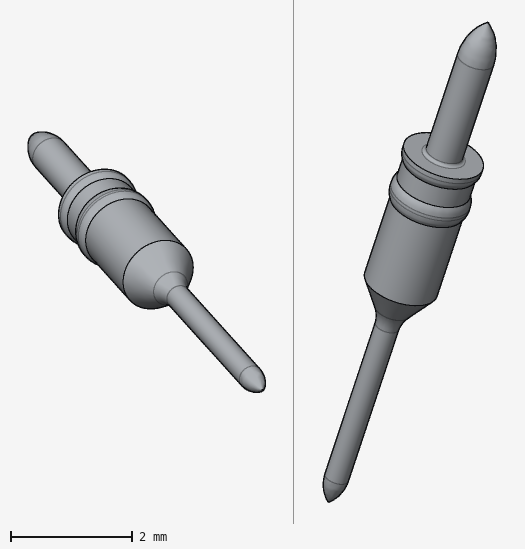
import cadquery as cq
import math

PIN_RADIUS = 0.63 / 2
BODY_RADIUS = 1.26 / 2
COLLAR_RADIUS = 1.375 / 2
CONE_END_RADIUS = 0.61 / 2
TAIL_RADIUS = 0.41 / 2
TIP_RADIUS = 0.025 / 2
ROOT_FILLET = 0.06

TOTAL_LENGTH = 9.55
NOSE_LENGTH = 0.73
COLLAR_START = 2.655
COLLAR_LAND = 0.09
COLLAR_RUNOUT = 0.15
RIB_CENTER = 3.46
RIB_LAND = 0.06
RIB_RUNOUT = 0.17
BODY_END = 5.21
CONE_END = 5.73
TAIL_START = 6.045
TAIL_TIP_LENGTH = 0.49


def crown_middle(crest, foot):
    """Return a middle point of the arc that leaves the crest parallel to X and ends at the foot."""
    run = foot[0] - crest[0]
    drop = crest[1] - foot[1]
    radius = (run**2 + drop**2) / (2 * drop)
    half_angle = math.atan2(drop, abs(run))
    x = crest[0] + math.copysign(radius * math.sin(half_angle), run)
    r = crest[1] - radius * (1 - math.cos(half_angle))
    return (x, r)


nose_tip = (0, TIP_RADIUS)
nose_base = (NOSE_LENGTH, PIN_RADIUS)
root_start = (COLLAR_START - ROOT_FILLET, PIN_RADIUS)
root_end = (COLLAR_START, PIN_RADIUS + ROOT_FILLET)
root_middle = (
    root_start[0] + ROOT_FILLET * math.sin(math.pi / 4),
    root_end[1] - ROOT_FILLET * math.cos(math.pi / 4),
)
collar_crest = (COLLAR_START + COLLAR_LAND, COLLAR_RADIUS)
collar_foot = (collar_crest[0] + COLLAR_RUNOUT, BODY_RADIUS)
rib_front_crest = (RIB_CENTER - RIB_LAND / 2, COLLAR_RADIUS)
rib_front_foot = (rib_front_crest[0] - RIB_RUNOUT, BODY_RADIUS)
rib_rear_crest = (RIB_CENTER + RIB_LAND / 2, COLLAR_RADIUS)
rib_rear_foot = (rib_rear_crest[0] + RIB_RUNOUT, BODY_RADIUS)
cone_end = (CONE_END, CONE_END_RADIUS)
tail_start = (TAIL_START, TAIL_RADIUS)
tail_tip_base = (TOTAL_LENGTH - TAIL_TIP_LENGTH, TAIL_RADIUS)
tail_tip = (TOTAL_LENGTH, TIP_RADIUS)

half_outline = (
    cq.Workplane("XY")
    .moveTo(0, 0)
    .lineTo(*nose_tip)
    .threePointArc(crown_middle(nose_base, nose_tip), nose_base)
    .lineTo(*root_start)
    .threePointArc(root_middle, root_end)
    .lineTo(COLLAR_START, COLLAR_RADIUS)
    .lineTo(*collar_crest)
    .threePointArc(crown_middle(collar_crest, collar_foot), collar_foot)
    .lineTo(*rib_front_foot)
    .threePointArc(crown_middle(rib_front_crest, rib_front_foot), rib_front_crest)
    .lineTo(*rib_rear_crest)
    .threePointArc(crown_middle(rib_rear_crest, rib_rear_foot), rib_rear_foot)
    .lineTo(BODY_END, BODY_RADIUS)
    .lineTo(*cone_end)
    .tangentArcPoint(tail_start, relative=False)
    .lineTo(*tail_tip_base)
    .threePointArc(crown_middle(tail_tip_base, tail_tip), tail_tip)
    .lineTo(TOTAL_LENGTH, 0)
    .close()
)

result = half_outline.revolve(360, (0, 0, 0), (1, 0, 0))